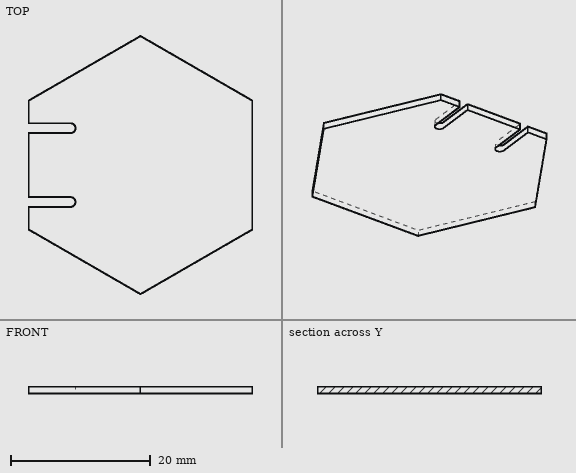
import cadquery as cq
import math

corner_diameter = 36.95
thickness = 1.0
slot_width = 1.35
slot_depth = 6.7
slot_spacing = 10.55

flat_distance = corner_diameter * math.cos(math.radians(30))
left_edge = -flat_distance / 2


def hexagon_plate():
    """Flat hexagonal plate with corners on the Y axis."""
    return (
        cq.Workplane("XY")
        .polygon(6, corner_diameter)
        .extrude(thickness)
        .rotate((0, 0, 0), (0, 0, 1), 90)
    )


def edge_slot(center_y):
    """Through slot, open at the left edge and round at its inner end."""
    overshoot = slot_width
    length = slot_depth + overshoot
    center_x = left_edge + slot_depth - length / 2
    return (
        cq.Workplane("XY")
        .center(center_x, center_y)
        .slot2D(length, slot_width)
        .extrude(thickness)
    )


result = hexagon_plate()
for side in (-1, 1):
    result = result.cut(edge_slot(side * slot_spacing / 2))